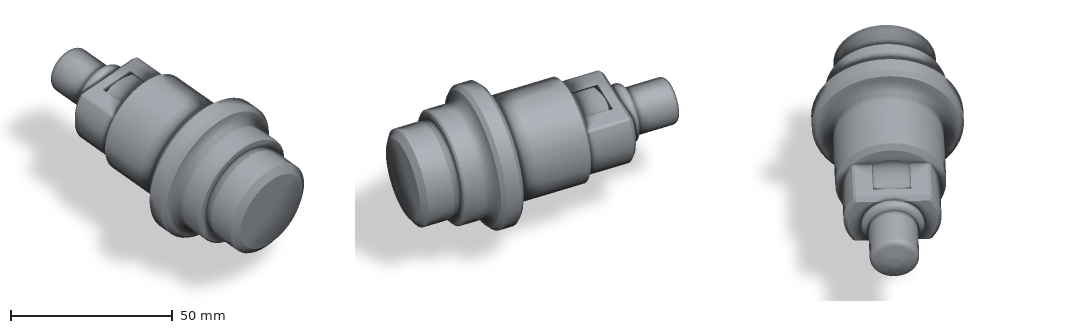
import cadquery as cq
import math

TIP_FLAT_RADIUS = 1.55
TIP_BLEND_RADIUS = 3.6
TIP_CONE_ANGLE = math.radians(15)
PLUNGER_ROUND_RADIUS = 2.0
PLUNGER_RADIUS = 7.7
RING_OUTER_RADIUS = 9.8
RING_SECTION_RADIUS = 1.9
RING_CENTER = 17.2

BLOCK_START = 19.0
BLOCK_RADIUS = 15.15
BLOCK_CHAMFER = 1.3
FLAT_HEIGHT = 9.5
FLAT_HALF_WIDTH = 11.3
FLAT_BEVEL_HALF_WIDTH = 12.1

BODY_START = 34.4
BODY_CHAMFER_LENGTH = 1.2
BODY_RADIUS = 17.2
FLANGE_START = 60.2
FLANGE_END = 67.8
FLANGE_RADIUS = 47.0 / 2
FLANGE_CHAMFER = 1.4
FRONT_FILLET = 3.3
REAR_FILLET = 3.0
COLLAR_RADIUS = 37.5 / 2
COLLAR_END = 78.6
COLLAR_CHAMFER = 0.55
NECK_RADIUS = 15.6
NECK_END = 80.4
NECK_CHAMFER = 0.3
REAR_RADIUS = 15.9
REAR_END = 91.3
REAR_CHAMFER_LENGTH = 1.7
REAR_CHAMFER_DEPTH = 2.6

BORE_START = 23.2
BORE_END = 38.3
BORE_RADIUS = 22.4 / 2
CORE_RADIUS = 10.7
CORE_NOSE_RADIUS = 8.6
CORE_NOSE_LENGTH = 1.4
CORE_FLAT_HEIGHT = 9.1


def cylinder_x(radius, start, end):
    return cq.Workplane("YZ", origin=(start, 0, 0)).circle(radius).extrude(end - start)


def revolve_x(profile):
    return profile.close().revolve(360, (0, 0, 0), (1, 0, 0))


def make_plunger():
    blend_end = (
        TIP_BLEND_RADIUS * (1 - math.cos(TIP_CONE_ANGLE)),
        TIP_FLAT_RADIUS + TIP_BLEND_RADIUS * math.sin(TIP_CONE_ANGLE),
    )
    cone_radius = PLUNGER_RADIUS - PLUNGER_ROUND_RADIUS * (1 - math.sin(TIP_CONE_ANGLE))
    cone_end = blend_end[0] + (cone_radius - blend_end[1]) * math.tan(TIP_CONE_ANGLE)
    round_end = cone_end + PLUNGER_ROUND_RADIUS * math.cos(TIP_CONE_ANGLE)
    profile = (
        cq.Workplane("XY")
        .lineTo(0, TIP_FLAT_RADIUS)
        .radiusArc(blend_end, TIP_BLEND_RADIUS)
        .lineTo(cone_end, cone_radius)
        .radiusArc((round_end, PLUNGER_RADIUS), PLUNGER_ROUND_RADIUS)
        .lineTo(BORE_START, PLUNGER_RADIUS)
        .lineTo(BORE_START, 0)
    )
    ring = cq.Workplane(cq.Solid.makeTorus(
        RING_OUTER_RADIUS - RING_SECTION_RADIUS,
        RING_SECTION_RADIUS,
        cq.Vector(RING_CENTER, 0, 0),
        cq.Vector(1, 0, 0),
    ))
    return revolve_x(profile).union(ring)


def make_block():
    bevel_height = math.sqrt(BLOCK_RADIUS**2 - FLAT_BEVEL_HALF_WIDTH**2)
    section = (
        cq.Workplane("YZ", origin=(BLOCK_START, 0, 0))
        .moveTo(-FLAT_HALF_WIDTH, FLAT_HEIGHT)
        .lineTo(FLAT_HALF_WIDTH, FLAT_HEIGHT)
        .lineTo(FLAT_BEVEL_HALF_WIDTH, bevel_height)
        .threePointArc((BLOCK_RADIUS, 0), (FLAT_BEVEL_HALF_WIDTH, -bevel_height))
        .lineTo(FLAT_HALF_WIDTH, -FLAT_HEIGHT)
        .lineTo(-FLAT_HALF_WIDTH, -FLAT_HEIGHT)
        .lineTo(-FLAT_BEVEL_HALF_WIDTH, -bevel_height)
        .threePointArc((-BLOCK_RADIUS, 0), (-FLAT_BEVEL_HALF_WIDTH, bevel_height))
        .close()
    )
    return section.extrude(BODY_START - BLOCK_START).faces("<X").chamfer(BLOCK_CHAMFER)


def make_body():
    profile = (
        cq.Workplane("XY")
        .moveTo(BODY_START, 0)
        .lineTo(BODY_START, BLOCK_RADIUS)
        .lineTo(BODY_START + BODY_CHAMFER_LENGTH, BODY_RADIUS)
        .lineTo(FLANGE_START - FRONT_FILLET, BODY_RADIUS)
        .radiusArc((FLANGE_START, BODY_RADIUS + FRONT_FILLET), -FRONT_FILLET)
        .lineTo(FLANGE_START, FLANGE_RADIUS - FLANGE_CHAMFER)
        .lineTo(FLANGE_START + FLANGE_CHAMFER, FLANGE_RADIUS)
        .lineTo(FLANGE_END - FLANGE_CHAMFER, FLANGE_RADIUS)
        .lineTo(FLANGE_END, FLANGE_RADIUS - FLANGE_CHAMFER)
        .lineTo(FLANGE_END, COLLAR_RADIUS + REAR_FILLET)
        .radiusArc((FLANGE_END + REAR_FILLET, COLLAR_RADIUS), -REAR_FILLET)
        .lineTo(COLLAR_END - COLLAR_CHAMFER, COLLAR_RADIUS)
        .lineTo(COLLAR_END, COLLAR_RADIUS - COLLAR_CHAMFER)
        .lineTo(COLLAR_END, NECK_RADIUS)
        .lineTo(NECK_END, NECK_RADIUS)
        .lineTo(NECK_END + NECK_CHAMFER, REAR_RADIUS)
        .lineTo(REAR_END - REAR_CHAMFER_LENGTH, REAR_RADIUS)
        .lineTo(REAR_END, REAR_RADIUS - REAR_CHAMFER_DEPTH)
        .lineTo(REAR_END, 0)
    )
    return revolve_x(profile)


def make_bore_gap():
    core = revolve_x(
        cq.Workplane("XY")
        .moveTo(BORE_START, 0)
        .lineTo(BORE_START, CORE_NOSE_RADIUS)
        .lineTo(BORE_START + CORE_NOSE_LENGTH, CORE_RADIUS)
        .lineTo(BORE_END, CORE_RADIUS)
        .lineTo(BORE_END, 0)
    )
    between_flats = cq.Workplane("XY").box(2 * BORE_END, 2 * BORE_RADIUS, 2 * CORE_FLAT_HEIGHT)
    core = core.intersect(between_flats)
    return cylinder_x(BORE_RADIUS, BORE_START, BORE_END).cut(core)


result = make_body().union(make_block()).union(make_plunger()).cut(make_bore_gap())